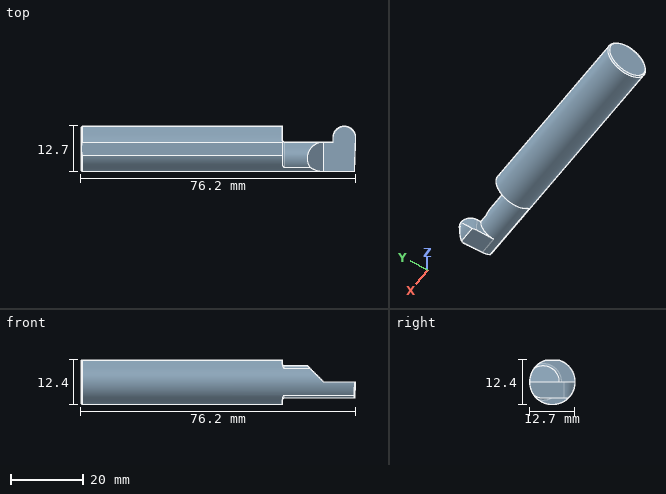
import cadquery as cq
import math

total_length = 76.2
shank_diameter = 12.65
shank_length = 55.85
flat_width = 3.65
end_chamfer = 0.4
shank_radius = shank_diameter / 2
flat_height = math.sqrt(shank_radius**2 - (flat_width / 2) ** 2)

neck_radius = 4.5
neck_side = 1.9
neck_center = neck_side - neck_radius
root_fillet = 0.6

ramp_foot = 67.3
ramp_angle = 45.0
head_width = 6.3
tip_radius = head_width / 2
tip_center = shank_radius - tip_radius
end_angle = 2.0
side_relief_angle = 3.0


def bar_along_x(radius, length, center_y=0.0):
    """Cylinder along X starting at X = 0."""
    return cq.Workplane("YZ").center(center_y, 0).circle(radius).extrude(length)


def make_shank():
    shank = bar_along_x(shank_radius, shank_length).faces("<X").chamfer(end_chamfer)
    above_flat = (
        cq.Workplane("XY")
        .workplane(offset=flat_height)
        .rect(2 * shank_length, 2 * shank_diameter)
        .extrude(shank_radius)
    )
    return shank.cut(above_flat)


def make_neck():
    """Neck running to the tip, with a concave fillet at its root."""
    root_end = shank_length + root_fillet
    arc_drop = root_fillet * (1 - math.sqrt(0.5))
    profile = (
        cq.Workplane("XY")
        .moveTo(shank_length, neck_center)
        .lineTo(shank_length, neck_side + root_fillet)
        .threePointArc(
            (shank_length + arc_drop, neck_side + arc_drop),
            (root_end, neck_side),
        )
        .lineTo(total_length, neck_side)
        .lineTo(total_length, neck_center)
        .close()
    )
    return profile.revolve(360, (0, neck_center, 0), (1, neck_center, 0))


def make_head_prism():
    """Hooked outline at the rake face, drawn in downward by the side relief.

    The outline runs past the -Y side of the bar, so no relief is cut there.
    """
    head_start = total_length - head_width
    outline_bottom = -shank_diameter
    end_lean = (tip_center - outline_bottom) * math.tan(math.radians(end_angle))
    return (
        cq.Workplane("XY")
        .moveTo(head_start, outline_bottom)
        .lineTo(head_start, tip_center)
        .threePointArc(
            (head_start + tip_radius, shank_radius),
            (total_length, tip_center),
        )
        .lineTo(total_length - end_lean, outline_bottom)
        .close()
        .extrude(-neck_radius, taper=side_relief_angle)
    )


def make_hook_space():
    """Block on the +Y side of the neck axis, as deep as the neck."""
    return (
        cq.Workplane("XY")
        .rect(2 * total_length, shank_diameter)
        .extrude(-neck_radius)
        .translate((0, neck_center + shank_diameter / 2, 0))
    )


def make_ramp_cut():
    """Space above the rake face and its sloped run-out up the neck."""
    ramp_run = shank_radius / math.tan(math.radians(ramp_angle))
    return (
        cq.Workplane("XZ")
        .moveTo(ramp_foot, 0)
        .lineTo(ramp_foot - ramp_run, shank_radius)
        .lineTo(total_length, shank_radius)
        .lineTo(total_length, 0)
        .close()
        .extrude(shank_diameter, both=True)
    )


envelope = bar_along_x(shank_radius, total_length)
neck = make_neck().cut(make_ramp_cut())
head = make_head_prism().intersect(neck.union(make_hook_space()))
neck_stem = neck.intersect(bar_along_x(shank_diameter, total_length - tip_radius))
working_end = neck_stem.union(head).intersect(envelope)
result = make_shank().union(working_end)